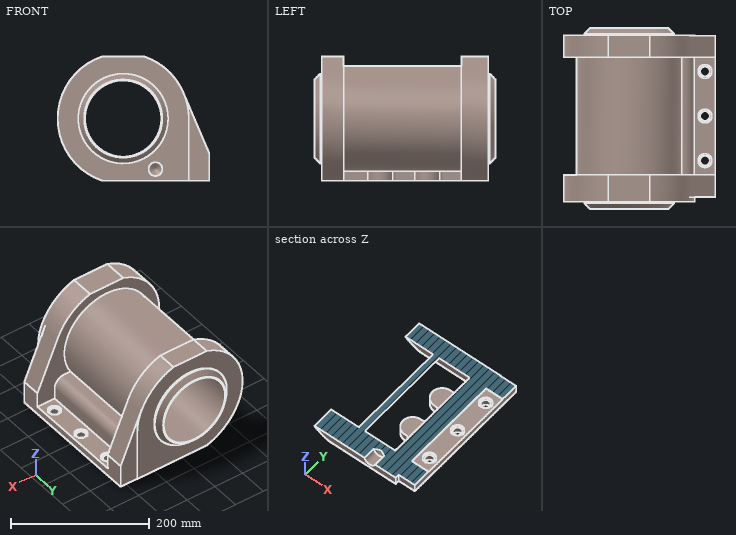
import cadquery as cq
import math

LENGTH = 262.0
BORE_DIAMETER = 110.0
END_DIAMETER = 130.0
END_CHAMFER = 8.5
BARREL_RADIUS = 76.2

FLANGE_RADIUS = 94.8
HEIGHT = 180.0
FLANGE_OUTER_Y = 120.5
FRONT_FLANGE_INNER_Y = -81.5
REAR_FLANGE_INNER_Y = 88.5

FOOT_X = 124.7
FOOT_CORNER_Z = -50.5
FOOT_FRONT_Y = -113.5
FOOT_REAR_Y = 120.0
PLATE_THICKNESS = 14.0
PLATE_INNER_X = 63.0
SHOULDER_X = 93.8
SHOULDER_RADIUS = 17.3
SHOULDER_TOP_Z = -39.3

BOLT_X = 109.5
BOLT_DIAMETER = 14.0
BOLT_RECESS_DIAMETER = 20.0
BOLT_RECESS_DEPTH = 2.5
BOLT_PITCH = 64.5
BOLT_MIDDLE_Y = 3.7

LOBE_RADIUS = 18.0
LOBE_FILLET = 5.0
LOBE_NECK = 7.9
LOBE_PITCH = 67.9
LOBE_MIDDLE_Y = -32.2

PIN_X = 46.6
PIN_Z = -73.0
PIN_DIAMETER = 20.0
PIN_DEPTH = 21.0
PIN_TIP_ANGLE = 118.0

bottom_z = -HEIGHT / 2


def y_prism(outline, y_start, y_end):
    """Extrude an XZ outline, given on the Y = 0 plane, between two Y positions."""
    return outline.extrude(y_start - y_end).translate((0, y_start, 0))


def y_cylinder(radius, y_start, y_end):
    return y_prism(cq.Workplane("XZ").circle(radius), y_start, y_end)


def flange(y_start, y_end):
    """Round disc with flats, squared off at the lower +X corner."""
    disc = y_cylinder(FLANGE_RADIUS, y_start, y_end)
    corner_outline = cq.Workplane("XZ").moveTo(0, bottom_z).lineTo(FLANGE_RADIUS, bottom_z)
    corner_outline = corner_outline.lineTo(FLANGE_RADIUS, 0).lineTo(0, 0).close()
    corner = y_prism(corner_outline, y_start, y_end)
    flats = cq.Workplane("XY").box(2 * FLANGE_RADIUS, 2 * LENGTH, HEIGHT)
    return disc.union(corner).intersect(flats)


def foot_end(y_start, y_end):
    """Gusset whose sloping face is tangent to the round of the flange."""
    corner_distance = math.hypot(FOOT_X, FOOT_CORNER_Z)
    tangent_angle = math.atan2(FOOT_CORNER_Z, FOOT_X) + math.acos(FLANGE_RADIUS / corner_distance)
    tangent_x = FLANGE_RADIUS * math.cos(tangent_angle)
    tangent_z = FLANGE_RADIUS * math.sin(tangent_angle)
    outline = cq.Workplane("XZ").moveTo(tangent_x, tangent_z).lineTo(FOOT_X, FOOT_CORNER_Z)
    outline = outline.lineTo(FOOT_X, bottom_z).lineTo(tangent_x, bottom_z).close()
    return y_prism(outline, y_start, y_end)


def foot_plate():
    """Flat plate with a lobed inner edge; its -Y end and one lobe lie inside the front flange."""
    y_length = REAR_FLANGE_INNER_Y - FOOT_FRONT_Y
    y_middle = (REAR_FLANGE_INNER_Y + FOOT_FRONT_Y) / 2
    plate = (
        cq.Workplane("XY", origin=(0, y_middle, bottom_z))
        .moveTo((PLATE_INNER_X + FOOT_X) / 2, 0)
        .rect(FOOT_X - PLATE_INNER_X, y_length)
        .extrude(PLATE_THICKNESS)
    )
    lobe_x = PLATE_INNER_X - LOBE_NECK
    for step in (-1, 0, 1):
        lobe_y = LOBE_MIDDLE_Y + step * LOBE_PITCH
        base = cq.Workplane("XY", origin=(lobe_x, lobe_y, bottom_z))
        plate = plate.union(base.circle(LOBE_RADIUS).extrude(PLATE_THICKNESS))
        neck = base.moveTo(LOBE_NECK, 0).rect(2 * LOBE_NECK, 2 * LOBE_RADIUS)
        plate = plate.union(neck.extrude(PLATE_THICKNESS))
    tolerance = 0.3
    inner_corners = cq.selectors.BoxSelector(
        (PLATE_INNER_X - tolerance, FOOT_FRONT_Y + tolerance, bottom_z - tolerance),
        (PLATE_INNER_X + tolerance, LOBE_MIDDLE_Y + LOBE_PITCH, bottom_z + PLATE_THICKNESS + tolerance),
    )
    return plate.clean().edges("|Z").edges(inner_corners).fillet(LOBE_FILLET)


def shoulder():
    """Rounded shoulder joining the barrel to the foot plate."""
    outline = cq.Workplane("XZ").moveTo(PLATE_INNER_X, bottom_z + PLATE_THICKNESS)
    outline = outline.lineTo(SHOULDER_X, bottom_z + PLATE_THICKNESS)
    outline = outline.lineTo(SHOULDER_X, SHOULDER_TOP_Z - SHOULDER_RADIUS)
    diagonal = SHOULDER_RADIUS * (1 - math.sqrt(0.5))
    outline = outline.threePointArc(
        (SHOULDER_X - diagonal, SHOULDER_TOP_Z - diagonal),
        (SHOULDER_X - SHOULDER_RADIUS, SHOULDER_TOP_Z),
    )
    outline = outline.lineTo(0, SHOULDER_TOP_Z).close()
    return y_prism(outline, FRONT_FLANGE_INNER_Y, REAR_FLANGE_INNER_Y)


def bolt_holes():
    cutters = cq.Workplane("XY")
    for step in (-1, 0, 1):
        base = cq.Workplane("XY", origin=(BOLT_X, BOLT_MIDDLE_Y + step * BOLT_PITCH, bottom_z))
        cutters = cutters.union(base.circle(BOLT_DIAMETER / 2).extrude(PLATE_THICKNESS))
        recess = base.workplane(offset=PLATE_THICKNESS - BOLT_RECESS_DEPTH)
        cutters = cutters.union(recess.circle(BOLT_RECESS_DIAMETER / 2).extrude(BOLT_RECESS_DEPTH))
    return cutters


def pin_hole():
    radius = PIN_DIAMETER / 2
    tip_length = radius / math.tan(math.radians(PIN_TIP_ANGLE / 2))
    profile = cq.Workplane("XY").lineTo(radius, 0).lineTo(radius, PIN_DEPTH)
    profile = profile.lineTo(0, PIN_DEPTH + tip_length).close()
    return profile.revolve(360, (0, 0, 0), (0, 1, 0)).translate((PIN_X, -FLANGE_OUTER_Y, PIN_Z))


sleeve = y_cylinder(END_DIAMETER / 2, -LENGTH / 2, LENGTH / 2).faces("<Y or >Y").chamfer(END_CHAMFER)
barrel = y_cylinder(BARREL_RADIUS, FRONT_FLANGE_INNER_Y, REAR_FLANGE_INNER_Y)

result = (
    sleeve.union(barrel)
    .union(flange(-FLANGE_OUTER_Y, FRONT_FLANGE_INNER_Y))
    .union(flange(REAR_FLANGE_INNER_Y, FLANGE_OUTER_Y))
    .union(foot_end(FOOT_FRONT_Y, FRONT_FLANGE_INNER_Y))
    .union(foot_end(REAR_FLANGE_INNER_Y, FOOT_REAR_Y))
    .union(foot_plate())
    .union(shoulder())
    .cut(y_cylinder(BORE_DIAMETER / 2, -LENGTH / 2, LENGTH / 2))
    .cut(bolt_holes())
    .cut(pin_hole())
)